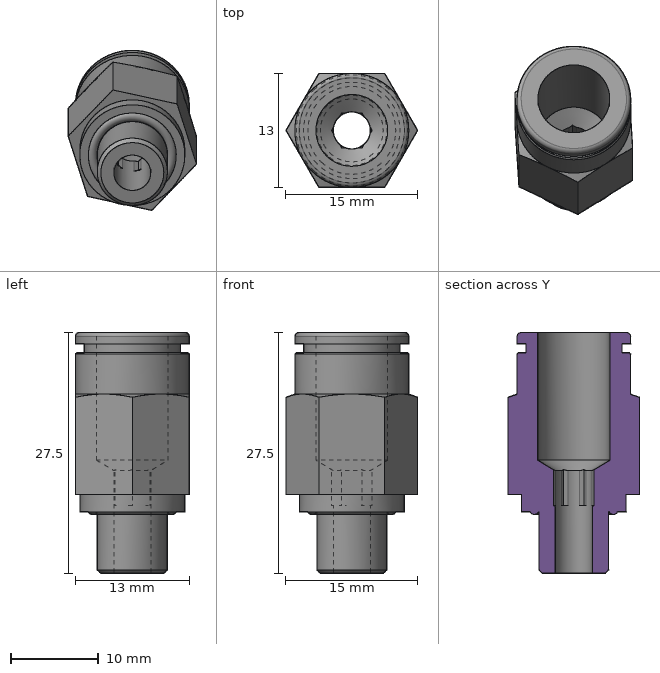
import cadquery as cq
import math

total_height = 27.5
seal_bottom = 6.7
collar_bottom = 7.0
hex_bottom = 9.0
hex_top = 20.45
body_top = 25.2
flange_bottom = 26.18

stem_diameter = 8.0
seal_radius = 0.55
seal_bite = 0.03
collar_diameter = 12.0
hex_across_flats = 13.0
body_diameter = hex_across_flats
neck_diameter = 11.0
stem_chamfer = 0.4
body_chamfer = 0.16
flange_fillet = 0.5
hex_chamfer_angle = 20.0

tube_bore_diameter = 8.2
tube_bore_bottom = 12.92
through_diameter = 4.2
socket_across_flats = 4.0
socket_depth = 4.0
bore_tip_angle = 118.0
cone_height = (tube_bore_diameter - through_diameter) / 2 / math.tan(math.radians(bore_tip_angle / 2))

overrun = 0.28


def corner_diameter(across_flats):
    return across_flats / math.cos(math.radians(30))


def cylinder(diameter, bottom, top):
    return cq.Workplane("XY").workplane(offset=bottom).circle(diameter / 2).extrude(top - bottom)


def hexagon(across_flats, bottom, top):
    outline = cq.Workplane("XY").workplane(offset=bottom).polygon(6, corner_diameter(across_flats))
    return outline.extrude(top - bottom)


def chamfered_hexagon():
    """Hexagonal grip whose upper corners are turned down to a shallow cone."""
    flat_radius = hex_across_flats / 2
    outer_radius = corner_diameter(hex_across_flats) / 2 + overrun
    drop = (outer_radius - flat_radius) * math.tan(math.radians(hex_chamfer_angle))
    envelope = (
        cq.Workplane("XZ")
        .moveTo(0, hex_bottom)
        .lineTo(outer_radius, hex_bottom)
        .lineTo(outer_radius, hex_top - drop)
        .lineTo(flat_radius, hex_top)
        .lineTo(0, hex_top)
        .close()
        .revolve(360, (0, 0, 0), (0, 1, 0))
    )
    return hexagon(hex_across_flats, hex_bottom, hex_top).intersect(envelope)


def seal_ring():
    """Round-section ring biting slightly into the stem, partly sunk into the collar."""
    ring_radius = stem_diameter / 2 + seal_radius - seal_bite
    section = cq.Workplane("XZ").center(ring_radius, seal_bottom + seal_radius).circle(seal_radius)
    return section.revolve(360, (-ring_radius, 0, 0), (-ring_radius, 1, 0))


def outside():
    stem = cylinder(stem_diameter, 0, collar_bottom).faces("<Z").chamfer(stem_chamfer)
    collar = cylinder(collar_diameter, collar_bottom, hex_bottom)
    body = cylinder(body_diameter, hex_top, body_top).faces(">Z").chamfer(body_chamfer)
    neck = cylinder(neck_diameter, body_top, flange_bottom)
    flange = cylinder(body_diameter, flange_bottom, total_height).faces(">Z").edges().fillet(flange_fillet)
    shape = stem
    for section in (seal_ring(), collar, chamfered_hexagon(), body, neck, flange):
        shape = shape.union(section)
    return shape


def passage():
    """Tube bore tapering to a through hole, with a hexagonal key socket below the taper."""
    cone_bottom = tube_bore_bottom - cone_height
    tapered_bore = (
        cq.Workplane("XZ")
        .moveTo(0, cone_bottom)
        .lineTo(through_diameter / 2, cone_bottom)
        .lineTo(tube_bore_diameter / 2, tube_bore_bottom)
        .lineTo(tube_bore_diameter / 2, total_height + overrun)
        .lineTo(0, total_height + overrun)
        .close()
        .revolve(360, (0, 0, 0), (0, 1, 0))
    )
    through_hole = cylinder(through_diameter, -overrun, tube_bore_bottom)
    socket = hexagon(socket_across_flats, cone_bottom - socket_depth, tube_bore_bottom)
    return tapered_bore.union(through_hole).union(socket)


result = outside().cut(passage())